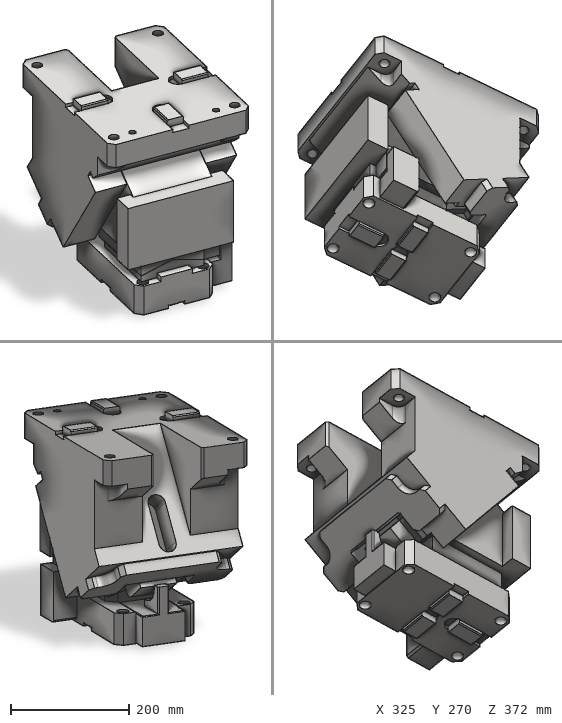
import cadquery as cq
import math

HEIGHT = 356.0
SLIDE_ANGLE = math.radians(55.0)
SLIDE_COS = math.cos(SLIDE_ANGLE)
SLIDE_SIN = math.sin(SLIDE_ANGLE)

FRAME_X = 155.5
FRAME_Z = 73.0

OVERCUT = 1.0

KEY_LENGTH = 50.0
KEY_RISE = 8.0
KEY_CHAMFER = 2.0
KEYWAY_DEPTH = 6.0

PLATE_LENGTH = 325.0
PLATE_WIDTH = 270.0
PLATE_THICKNESS = 45.0
PLATE_BOTTOM_Z = HEIGHT - PLATE_THICKNESS
PLATE_CORNER = 11.0
HOLDER_KEY_WIDTH = 31.0
HOLDER_KEY_END_X = 255.0
HOLDER_KEY_END_Y = 71.0
HOLDER_SIDE_KEY_X = 180.0
HOLDER_BOLT_DIAMETER = 18.0
HOLDER_BOLT_X = (25.0, 301.0)
HOLDER_BOLT_Y = 115.5
DOWEL_DIAMETER = 12.0
DOWEL_DEPTH = 20.0
DOWEL_Y = 80.0
BODY_BACK_X = 44.5
BACK_RIB_BOTTOM_Z = 302.0
BODY_DEPTH = 158.0
ARM_LENGTH = 202.0
SLIDE_DEPTH = 33.0
STOP_ALONG = 216.5
STOP_LIP_DEPTH = 20.5
OVERHANG_END_X = 321.0
CHANNEL_WIDTH = 150.0
BOLT_POCKET_FRONT_X = 279.5
BOLT_POCKET_Y = 94.0
BOLT_POCKET_RADIUS = 15.5
BACK_POCKET_LENGTH = 160.5
BACK_POCKET_WIDTH = 90.0
BACK_POCKET_CHAMFER = 4.0
SPRING_SLOT_WIDTH = 32.0
SPRING_SLOT_LENGTH = 103.0
SPRING_SLOT_START = 8.5
SPRING_SLOT_DEPTH = 45.0
CAVITY_WIDTH = 130.0
CAVITY_DEPTH = 90.0
CAVITY_LENGTH = 150.0

STOP_THICKNESS = 20.0
STOP_NEAR_DEPTH = 48.0
STOP_FAR_DEPTH = 152.5
STOP_CHAMFER = 8.0
STOP_NOSE_Y = 95.0
STOP_SHOULDER_DEPTH = 94.5
STOP_FILLET = 25.0
STOP_SLOT_Y = 65.0
STOP_SLOT_CHAMFER = 3.0

SLIDER_END = 204.5
SLIDER_FRONT_X = 295.0
FOOT_BACK_X = 144.0
FOOT_WIDTH = 120.0
FOOT_TOP_Z = 105.5
WORK_PLATE_BACK_X = 285.0
WORK_PLATE_WIDTH = 202.0
WORK_PLATE_HEIGHT = 119.5
TONGUE_WIDTH = 68.0
TONGUE_DEPTH = 83.0
TONGUE_LOWER_DEPTH = 24.0
TONGUE_START = -25.5
TONGUE_END = 100.0
TONGUE_NOSE_RADIUS = 16.0
SHOULDER_WIDTH = 92.0
SHOULDER_START = 10.5
HOOK_INNER_Y = 62.0
HOOK_OUTER_Y = 95.5
HOOK_BOTTOM_Z = 61.0
HOOK_TOP_Z = 125.0
RETURN_LENGTH = 50.0

BASE_BACK_X = 80.0
BASE_LENGTH = 230.0
BASE_WIDTH = 150.0
BASE_THICKNESS = 56.0
BASE_CORNER = 12.0
BASE_BOLT_DIAMETER = 20.0
BASE_BOLT_INSET = 14.0
BASE_BOLT_Y = 57.5
ROOF_EDGE_Z = 67.5
ROOF_ANGLE = math.radians(15.0)
BOSS_CORNER = 17.0
BOSS_STEP_X = 234.5
BOSS_STEP = 1.0
NOSE_BACK_X = 54.5
NOSE_WIDTH = 80.0
NOSE_BOTTOM_Z = 1.5
NOSE_CHAMFER = 1.5
NOSE_TOP_Z = 55.0
RIB_WIDTH = 21.0
RIB_CHAMFER = 2.5
RIB_TOP_Z = 102.5
RIB_TOE_X = 108.0
RIB_TOE_Z = 67.5
RIB_BACK_THICKNESS = 14.5
RIB_RADIUS = 32.0
BUFFER_WIDTH = 60.0
BUFFER_TOP_Z = 65.0
DRIVER_KEY_WIDTH = 31.0
DRIVER_SIDE_KEY_X = 195.0
DRIVER_KEY_END_X = 240.0
DRIVER_KEY_END_Y = 10.5
RETURN_OUTER_Y = 119.0
RETURN_ARM_THICKNESS = 21.0
RETURN_BOTTOM_Z = 5.0
RETURN_LEDGE_Z = 52.0
RETURN_TOP_Z = 95.0
RETURN_CHAMFER = 4.0


def at(along, depth):
    """X and Z of a point given in the slide frame."""
    x = FRAME_X + along * SLIDE_COS - depth * SLIDE_SIN
    z = FRAME_Z + along * SLIDE_SIN + depth * SLIDE_COS
    return x, z


def slide_face_z(x, depth):
    """Z at which the plane of constant depth passes through x."""
    start_x, start_z = at(0, depth)
    return start_z + (x - start_x) * math.tan(SLIDE_ANGLE)


def across(points, width):
    """Prism with an X-Z outline, centred on Y = 0."""
    return cq.Workplane("XZ").polyline(points).close().extrude(width / 2, both=True)


def slide_block(along_start, along_end, depth_start, depth_end, width):
    """Block square to the slideway, centred on Y = 0."""
    corners = [
        at(along_start, depth_start),
        at(along_end, depth_start),
        at(along_end, depth_end),
        at(along_start, depth_end),
    ]
    return across(corners, width)


def block(x_start, x_end, y_start, y_end, z_start, z_end):
    size = (x_end - x_start, y_end - y_start, z_end - z_start)
    return cq.Workplane("XY").box(*size, centered=False).translate((x_start, y_start, z_start))


def under_roof(x_start, x_end, width, bottom_z):
    """Prism along X from bottom_z up to the roof that slider and driver share."""
    half = width / 2
    eave_z = ROOF_EDGE_Z + (FOOT_WIDTH / 2 - half) * math.tan(ROOF_ANGLE)
    ridge_z = ROOF_EDGE_Z + FOOT_WIDTH / 2 * math.tan(ROOF_ANGLE)
    outline = [(-half, bottom_z), (half, bottom_z), (half, eave_z), (0, ridge_z), (-half, eave_z)]
    prism = cq.Workplane("YZ").polyline(outline).close().extrude(x_end - x_start)
    return prism.translate((x_start, 0, 0))


def key_and_keyway(width, length, run_out, face_z, upward):
    """Key along +X from the origin, and its round-ended keyway running out past the part's edge."""
    radius = width / 2
    key = block(0, length, -radius, radius, -KEYWAY_DEPTH, KEY_RISE)
    key = key.edges("|X and >Z").chamfer(KEY_CHAMFER)
    keyway = block(0, run_out, -radius, radius, -KEYWAY_DEPTH, KEY_RISE)
    round_end = cq.Workplane("XY").circle(radius).extrude(KEYWAY_DEPTH + KEY_RISE)
    keyway = keyway.union(round_end.translate((0, 0, -KEYWAY_DEPTH)))
    turn = 0 if upward else 180
    placed = []
    for shape in (key, keyway):
        placed.append(shape.rotate((0, 0, 0), (1, 0, 0), turn).translate((0, 0, face_z)))
    return placed


def add_keys(body, width, side_x, end_y, end_x, face_z, upward, run_out):
    """Two keys pointing to the Y sides and one pointing to +X, each in its own keyway."""
    key, keyway = key_and_keyway(width, KEY_LENGTH, run_out, face_z, upward)
    places = [(0, end_x, 0), (90, side_x, end_y), (-90, side_x, -end_y)]
    placed_keys = []
    for angle, x, y in places:
        body = body.cut(keyway.rotate((0, 0, 0), (0, 0, 1), angle).translate((x, y, 0)))
        placed_keys.append(key.rotate((0, 0, 0), (0, 0, 1), angle).translate((x, y, 0)))
    for placed_key in placed_keys:
        body = body.union(placed_key)
    return body


def stop_plate():
    """Contoured plate under the holder's lower end, with a central slot for the slider's tongue."""
    half_width = PLATE_WIDTH / 2
    shoulder_side = STOP_SHOULDER_DEPTH + STOP_CHAMFER
    fillet_y = STOP_NOSE_Y + STOP_FILLET
    start_x, start_z = at(-STOP_THICKNESS, 0)
    plane = cq.Plane(
        origin=(start_x, 0, start_z),
        xDir=(-SLIDE_SIN, 0, SLIDE_COS),
        normal=(SLIDE_COS, 0, SLIDE_SIN),
    )
    arc_mid_depth = shoulder_side + STOP_FILLET * (1 - math.sqrt(0.5))
    arc_mid_y = fillet_y - STOP_FILLET * math.sqrt(0.5)
    half = (
        cq.Workplane(plane)
        .moveTo(STOP_SHOULDER_DEPTH, 0)
        .lineTo(STOP_FAR_DEPTH, 0)
        .lineTo(STOP_FAR_DEPTH, STOP_NOSE_Y - STOP_CHAMFER)
        .lineTo(STOP_FAR_DEPTH - STOP_CHAMFER, STOP_NOSE_Y)
        .lineTo(shoulder_side + STOP_FILLET, STOP_NOSE_Y)
        .threePointArc((arc_mid_depth, arc_mid_y), (shoulder_side, fillet_y))
        .lineTo(shoulder_side, half_width - STOP_CHAMFER)
        .lineTo(STOP_SHOULDER_DEPTH, half_width)
        .lineTo(STOP_NEAR_DEPTH + STOP_CHAMFER, half_width)
        .lineTo(STOP_NEAR_DEPTH, half_width - STOP_CHAMFER)
        .lineTo(STOP_NEAR_DEPTH, STOP_SLOT_Y + STOP_CHAMFER)
        .lineTo(STOP_NEAR_DEPTH + STOP_CHAMFER, STOP_SLOT_Y)
        .lineTo(STOP_SHOULDER_DEPTH - STOP_SLOT_CHAMFER, STOP_SLOT_Y)
        .lineTo(STOP_SHOULDER_DEPTH, STOP_SLOT_Y - STOP_SLOT_CHAMFER)
        .close()
        .extrude(STOP_THICKNESS)
    )
    return half.union(half.mirror("XZ"))


def bolt_pocket(x_start, x_end, inner_edge):
    """Clearance under one +Y bolt of the holder plate, with a rounded inner corner."""
    pocket_bottom = slide_face_z(BODY_BACK_X, BODY_DEPTH)
    clearance = block(x_start, x_end, BOLT_POCKET_Y, PLATE_WIDTH, pocket_bottom, PLATE_BOTTOM_Z)
    return clearance.edges(inner_edge).fillet(BOLT_POCKET_RADIUS)


def make_holder():
    plate = block(0, PLATE_LENGTH, -PLATE_WIDTH / 2, PLATE_WIDTH / 2, PLATE_BOTTOM_Z, HEIGHT)
    plate = plate.edges("|Z").chamfer(PLATE_CORNER)

    back_rib_drop = BODY_BACK_X / math.tan(SLIDE_ANGLE)
    outline = [
        (0, PLATE_BOTTOM_Z),
        (0, BACK_RIB_BOTTOM_Z),
        (BODY_BACK_X, BACK_RIB_BOTTOM_Z - back_rib_drop),
        (BODY_BACK_X, slide_face_z(BODY_BACK_X, BODY_DEPTH)),
        at(0, BODY_DEPTH),
        at(0, 0),
        at(ARM_LENGTH, 0),
        at(ARM_LENGTH, SLIDE_DEPTH),
        at(STOP_ALONG, SLIDE_DEPTH),
        at(STOP_ALONG, STOP_LIP_DEPTH),
        (OVERHANG_END_X, PLATE_BOTTOM_Z),
    ]
    body = across(outline, PLATE_WIDTH)
    pockets = [
        bolt_pocket(-OVERCUT, BODY_BACK_X, "|Z and >X and <Y"),
        bolt_pocket(BOLT_POCKET_FRONT_X, PLATE_LENGTH, "|Z and <X and <Y"),
    ]
    for pocket in pockets:
        body = body.cut(pocket).cut(pocket.mirror("XZ"))
    holder = plate.union(body)

    floor_top_x = BACK_POCKET_LENGTH
    floor_bottom = at(0, BODY_DEPTH)
    pocket_outline = [
        (floor_top_x, slide_face_z(floor_top_x, BODY_DEPTH)),
        floor_bottom,
        (-OVERCUT, floor_bottom[1]),
        (-OVERCUT, HEIGHT + OVERCUT),
        (floor_top_x, HEIGHT + OVERCUT),
    ]
    holder = holder.cut(across(pocket_outline, BACK_POCKET_WIDTH))
    mouth_half = BACK_POCKET_WIDTH / 2
    mouth = [
        (0, -mouth_half - BACK_POCKET_CHAMFER),
        (BACK_POCKET_CHAMFER, -mouth_half),
        (BACK_POCKET_CHAMFER, mouth_half),
        (0, mouth_half + BACK_POCKET_CHAMFER),
    ]
    rib_mouth_bottom = BACK_RIB_BOTTOM_Z - BACK_POCKET_CHAMFER
    mouth_cut = cq.Workplane("XY").workplane(offset=rib_mouth_bottom).polyline(mouth).close()
    holder = holder.cut(mouth_cut.extrude(HEIGHT - rib_mouth_bottom))

    holder = holder.cut(slide_block(-OVERCUT, ARM_LENGTH, -OVERCUT, SLIDE_DEPTH, CHANNEL_WIDTH))
    holder = holder.cut(slide_block(-OVERCUT, CAVITY_LENGTH, SLIDE_DEPTH, CAVITY_DEPTH, CAVITY_WIDTH))

    slot_x, slot_z = at(SPRING_SLOT_START + SPRING_SLOT_LENGTH / 2, BODY_DEPTH)
    slot_plane = cq.Plane(
        origin=(slot_x, 0, slot_z),
        xDir=(SLIDE_COS, 0, SLIDE_SIN),
        normal=(SLIDE_SIN, 0, -SLIDE_COS),
    )
    slot = cq.Workplane(slot_plane).slot2D(SPRING_SLOT_LENGTH, SPRING_SLOT_WIDTH).extrude(SPRING_SLOT_DEPTH)
    holder = holder.cut(slot)

    bolts = [(x, y) for x in HOLDER_BOLT_X for y in (-HOLDER_BOLT_Y, HOLDER_BOLT_Y)]
    dowels = [(HOLDER_BOLT_X[1], -DOWEL_Y), (HOLDER_BOLT_X[1], DOWEL_Y)]
    top = cq.Workplane("XY").workplane(offset=HEIGHT)
    holder = holder.cut(top.pushPoints(bolts).circle(HOLDER_BOLT_DIAMETER / 2).extrude(-PLATE_THICKNESS))
    holder = holder.cut(top.pushPoints(dowels).circle(DOWEL_DIAMETER / 2).extrude(-DOWEL_DEPTH))

    holder = add_keys(
        holder,
        width=HOLDER_KEY_WIDTH,
        side_x=HOLDER_SIDE_KEY_X,
        end_y=HOLDER_KEY_END_Y,
        end_x=HOLDER_KEY_END_X,
        face_z=HEIGHT,
        upward=True,
        run_out=PLATE_WIDTH,
    )
    return holder.union(stop_plate())


def make_slider():
    toe_x = at(0, SLIDE_DEPTH)[0]
    toe_x += (FOOT_TOP_Z - at(0, SLIDE_DEPTH)[1]) / math.tan(SLIDE_ANGLE)
    top_x, top_z = at(SLIDER_END, SLIDE_DEPTH)
    front_top_z = top_z - (SLIDER_FRONT_X - top_x) / math.tan(SLIDE_ANGLE)
    wedge_outline = [
        (toe_x, FOOT_TOP_Z),
        (top_x, top_z),
        (SLIDER_FRONT_X, front_top_z),
        (SLIDER_FRONT_X, FOOT_TOP_Z),
    ]
    slider = across(wedge_outline, CHANNEL_WIDTH)

    half_foot = FOOT_WIDTH / 2
    foot = block(FOOT_BACK_X, SLIDER_FRONT_X, -half_foot, half_foot, ROOF_EDGE_Z, FOOT_TOP_Z)
    slider = slider.union(foot.cut(under_roof(FOOT_BACK_X, SLIDER_FRONT_X, FOOT_WIDTH, 0)))

    half_plate = WORK_PLATE_WIDTH / 2
    plate_top_z = FOOT_TOP_Z + WORK_PLATE_HEIGHT
    slider = slider.union(
        block(WORK_PLATE_BACK_X, PLATE_LENGTH, -half_plate, half_plate, FOOT_TOP_Z, plate_top_z)
    )

    nose_along = TONGUE_START + TONGUE_NOSE_RADIUS
    nose_depth = TONGUE_LOWER_DEPTH + TONGUE_NOSE_RADIUS
    tongue = slide_block(TONGUE_START, TONGUE_END, nose_depth, TONGUE_DEPTH, TONGUE_WIDTH)
    root = slide_block(nose_along, TONGUE_END, TONGUE_LOWER_DEPTH, nose_depth, TONGUE_WIDTH)
    shoulder = slide_block(SHOULDER_START, TONGUE_END, SLIDE_DEPTH, TONGUE_DEPTH, SHOULDER_WIDTH)
    nose_x, nose_z = at(nose_along, nose_depth)
    nose = cq.Workplane("XZ").center(nose_x, nose_z).circle(TONGUE_NOSE_RADIUS)
    nose = nose.extrude(TONGUE_WIDTH / 2, both=True)
    slider = slider.union(tongue).union(root).union(nose).union(shoulder)

    hook_end_x = WORK_PLATE_BACK_X
    hook_start_x = hook_end_x - RETURN_LENGTH
    hook = block(hook_start_x, hook_end_x, HOOK_INNER_Y, HOOK_OUTER_Y, HOOK_BOTTOM_Z, HOOK_TOP_Z)
    return slider.union(hook)


def driver_nose():
    """Block on the back of the base, with a rib whose inner side is a hollow arc."""
    half = NOSE_WIDTH / 2
    nose = block(NOSE_BACK_X, BASE_BACK_X, -half, half, NOSE_BOTTOM_Z, NOSE_TOP_Z)
    nose = nose.edges("(>Z and <X) or (>Z and <Y) or (>Z and >Y)").chamfer(NOSE_CHAMFER)
    arc_x = NOSE_BACK_X + RIB_BACK_THICKNESS
    centre_x = arc_x + RIB_RADIUS
    centre_z = RIB_TOE_Z + RIB_RADIUS
    reach = RIB_RADIUS * math.sqrt(0.5)
    rib = (
        cq.Workplane("XZ")
        .moveTo(NOSE_BACK_X, NOSE_BOTTOM_Z)
        .lineTo(NOSE_BACK_X, RIB_TOP_Z)
        .lineTo(arc_x, RIB_TOP_Z)
        .lineTo(arc_x, centre_z)
        .threePointArc((centre_x - reach, centre_z - reach), (centre_x, RIB_TOE_Z))
        .lineTo(RIB_TOE_X, RIB_TOE_Z)
        .lineTo(RIB_TOE_X, NOSE_BOTTOM_Z)
        .close()
        .extrude(RIB_WIDTH / 2, both=True)
        .edges("|Z and <X")
        .chamfer(RIB_CHAMFER)
    )
    return nose.union(rib)


def return_bracket():
    """L-shaped bracket on the +Y side of the base, reaching up outside the slider's hook."""
    x_end = WORK_PLATE_BACK_X
    x_start = x_end - RETURN_LENGTH
    ledge = block(x_start, x_end, BASE_WIDTH / 2, RETURN_OUTER_Y, RETURN_BOTTOM_Z, RETURN_LEDGE_Z)
    arm_y = RETURN_OUTER_Y - RETURN_ARM_THICKNESS
    arm = block(x_start, x_end, arm_y, RETURN_OUTER_Y, RETURN_BOTTOM_Z, RETURN_TOP_Z)
    return ledge.union(arm).edges("<X and <Z").chamfer(RETURN_CHAMFER)


def make_driver():
    base_front_x = BASE_BACK_X + BASE_LENGTH
    half_base = BASE_WIDTH / 2
    driver = block(BASE_BACK_X, base_front_x, -half_base, half_base, 0, BASE_THICKNESS)
    driver = driver.edges("|Z").chamfer(BASE_CORNER)

    half_nose = NOSE_WIDTH / 2
    driver = driver.cut(
        block(BASE_BACK_X, FOOT_BACK_X, -half_nose, half_nose, NOSE_TOP_Z, BASE_THICKNESS)
    )

    back = under_roof(FOOT_BACK_X, BOSS_STEP_X, FOOT_WIDTH - 2 * BOSS_STEP, BASE_THICKNESS)
    back = back.edges("|Z and <X").chamfer(BOSS_CORNER)
    driver = driver.union(back).union(under_roof(BOSS_STEP_X, SLIDER_FRONT_X, FOOT_WIDTH, BASE_THICKNESS))

    half_buffer = BUFFER_WIDTH / 2
    buffer = block(SLIDER_FRONT_X, base_front_x, -half_buffer, half_buffer, BASE_THICKNESS, BUFFER_TOP_Z)
    driver = driver.union(buffer).union(driver_nose()).union(return_bracket())

    bolt_x = (BASE_BACK_X + BASE_BOLT_INSET, base_front_x - BASE_BOLT_INSET)
    bolts = [(x, y) for x in bolt_x for y in (-BASE_BOLT_Y, BASE_BOLT_Y)]
    holes = cq.Workplane("XY").pushPoints(bolts).circle(BASE_BOLT_DIAMETER / 2).extrude(BASE_THICKNESS)
    driver = driver.cut(holes)
    return add_keys(
        driver,
        width=DRIVER_KEY_WIDTH,
        side_x=DRIVER_SIDE_KEY_X,
        end_y=DRIVER_KEY_END_Y,
        end_x=DRIVER_KEY_END_X,
        face_z=0,
        upward=False,
        run_out=BASE_LENGTH,
    )


holder = make_holder()
slider = make_slider()
driver = make_driver()

result = cq.Compound.makeCompound([holder.val(), slider.val(), driver.val()])